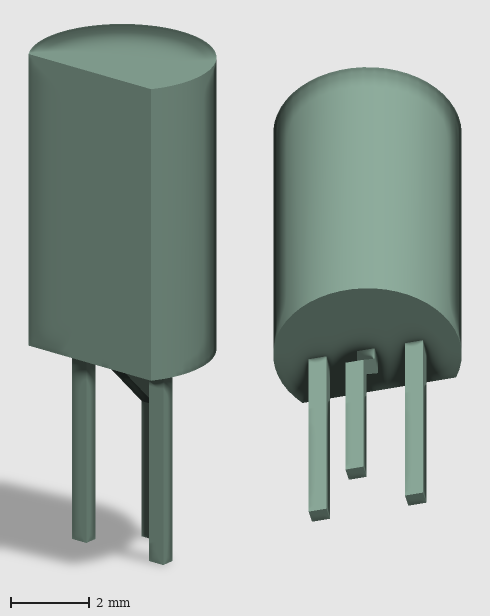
import cadquery as cq
import math

total_height = 13.5
body_height = 7.99
body_diameter = 4.83
body_depth = 3.74
body_radius = body_diameter / 2
flat_y = body_radius - body_depth
flat_half_width = math.sqrt(body_radius**2 - flat_y**2)

lead_length = total_height - body_height
lead_width = 0.47
lead_thickness = 0.38
lead_pitch = 1.27

bend_offset = 1.27
bend_angle = 45.0
bend_start = 0.38


def make_body():
    return (
        cq.Workplane("XY")
        .moveTo(-flat_half_width, flat_y)
        .threePointArc((0, body_radius), (flat_half_width, flat_y))
        .close()
        .extrude(body_height)
    )


def make_straight_lead(x):
    return (
        cq.Workplane("XY")
        .center(x, 0)
        .rect(lead_width, lead_thickness)
        .extrude(-lead_length)
    )


def make_bent_lead():
    back = lead_thickness / 2
    front = -back
    miter_drop = lead_thickness * math.tan(math.radians(bend_angle / 2))
    slope_drop = bend_offset / math.tan(math.radians(bend_angle))
    back_top = -bend_start
    front_top = back_top - miter_drop
    profile = [
        (front, 0),
        (front, front_top),
        (front + bend_offset, front_top - slope_drop),
        (front + bend_offset, -lead_length),
        (back + bend_offset, -lead_length),
        (back + bend_offset, back_top - slope_drop),
        (back, back_top),
        (back, 0),
    ]
    return cq.Workplane("YZ").polyline(profile).close().extrude(lead_width / 2, both=True)


result = make_body().union(make_bent_lead())
for side in (-1, 1):
    result = result.union(make_straight_lead(side * lead_pitch))